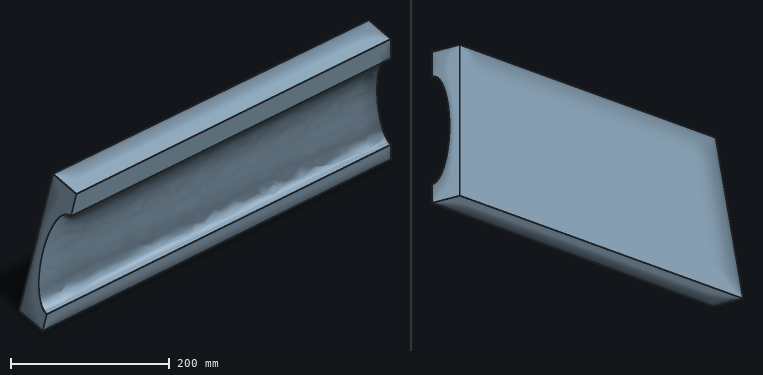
import cadquery as cq

length = 550.5
height = 200.5
front_width = 49.5
back_width = 46.0
slant_run = 53.5

channel_center = 96.5
channel_half_height = 71.5
front_depth = 33.5
back_depth = 29.0


def tapered_block():
    """Block whose -X side converges slightly towards the back."""
    return (
        cq.Workplane("XY")
        .moveTo(0, 0)
        .lineTo(front_width, 0)
        .lineTo(front_width, length)
        .lineTo(front_width - back_width, length)
        .close()
        .extrude(height)
    )


def side_profile():
    """Full-width prism with the sloping front face."""
    return (
        cq.Workplane("YZ")
        .polyline([(0, 0), (length, 0), (length, height), (slant_run, height)])
        .close()
        .extrude(front_width)
    )


def channel_section(y, depth):
    """Elliptical cutter outline at the given Y, centred on the +X side."""
    center = cq.Vector(front_width, y, channel_center)
    return cq.Wire.makeEllipse(
        channel_half_height, depth, center, cq.Vector(0, 1, 0), cq.Vector(0, 0, 1)
    )


def channel():
    """Channel that becomes shallower from front to back."""
    sections = [channel_section(0, front_depth), channel_section(length, back_depth)]
    return cq.Workplane(obj=cq.Solid.makeLoft(sections, True))


result = tapered_block().intersect(side_profile()).cut(channel())